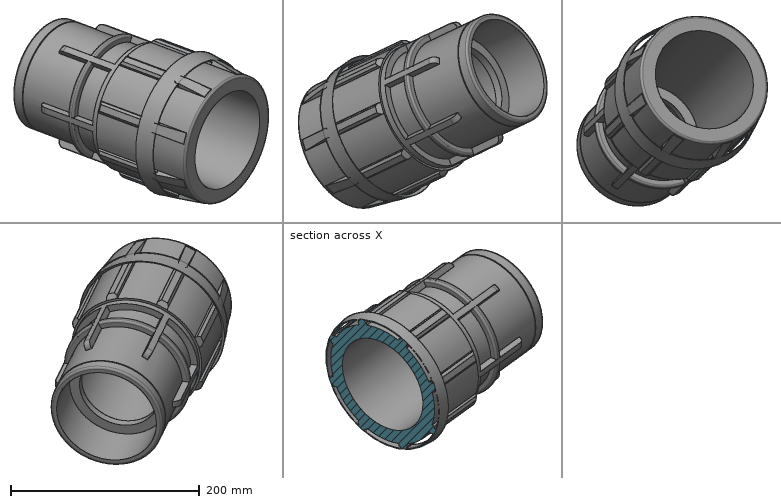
import cadquery as cq
length = 243.0

body_radius = 61.6
socket_radius = 55.05
stop_radius = 44.0
socket_depth = 51.8
stop_length = 8.7
tip_fillet = 2.5
groove_start = 13.0
groove_width = 0.7
groove_depth = 0.2

collar_radius = 69.3
collar_start = 81.0
collar_width = 7.3
collar_fillet = 2.5
flange_start = 114.7
fin_count = 6
fin_start = 41.3
fin_width = 7.3

nut_radius = 71.7
nut_start = 121.7
nut_end_fillet = 2.5
rib_count = 8
rib_radius = 76.8
rib_width = 12.6
rib_chamfer = 2.7
rib_front_drop = 5.0
rib_front_slope = 4.5

ring_start = 182.2
ring_width = 21.5
ring_front_radius = 80.07
ring_rear_radius = 77.3
ring_bore_radius = 76.5
ring_bevel_length = 3.6
ring_end = ring_start + ring_width

wedge_overlap = 4.9
wedge_end = 238.6
wedge_end_radius = 72.2
wedge_top_width = 10.2
wedge_base_width = rib_width


def turned(start, end, radius):
    """Solid cylinder along X between two stations."""
    return cq.Workplane("YZ").workplane(offset=start).circle(radius).extrude(end - start)


def revolved(profile):
    """Solid of revolution about X from (station, radius) points."""
    return cq.Workplane("XY").polyline(profile).close().revolve(360, (0, 0, 0), (1, 0, 0))


def bar_along_x(start, end, section):
    """Prism along X with the given cross-section."""
    return cq.Workplane("YZ").workplane(offset=start).polyline(section).close().extrude(end - start)


def around(shape, count, first_angle):
    """Copies of a shape evenly spaced about the X axis, joined together."""
    joined = cq.Workplane("XY")
    for i in range(count):
        angle = first_angle + i * 360 / count
        joined = joined.add(shape.rotate((0, 0, 0), (1, 0, 0), angle))
    return joined.combine()


def make_body():
    body = turned(0, nut_start, body_radius).faces("<X").edges().fillet(tip_fillet)
    groove_end = groove_start + groove_width
    groove = turned(groove_start, groove_end, body_radius + 2.5).cut(
        turned(groove_start, groove_end, body_radius - groove_depth)
    )
    collar = turned(collar_start, collar_start + collar_width, collar_radius)
    collar = collar.edges().fillet(collar_fillet)
    flange = turned(flange_start, nut_start, collar_radius)
    return body.cut(groove).union(collar).union(flange)


def make_fins():
    nose_radius = collar_radius - body_radius
    envelope = turned(fin_start, flange_start, collar_radius).faces("<X").edges().fillet(nose_radius)
    fin_length = flange_start - fin_start
    bar = cq.Workplane("XY").box(fin_length, collar_radius, fin_width, centered=(False, False, True))
    return around(bar.translate((fin_start, 0, 0)), fin_count, 0).intersect(envelope)


def make_nut():
    return turned(nut_start, length, nut_radius).faces(">X").edges().fillet(nut_end_fillet)


def make_ribs():
    root = stop_radius + 14.5
    half_width = rib_width / 2
    section = [
        (-half_width, root),
        (-half_width, rib_radius - rib_chamfer),
        (rib_chamfer - half_width, rib_radius),
        (half_width - rib_chamfer, rib_radius),
        (half_width, rib_radius - rib_chamfer),
        (half_width, root),
    ]
    ramp = [
        (nut_start, rib_radius - rib_front_drop),
        (nut_start + rib_front_slope, rib_radius),
        (nut_start, rib_radius),
    ]
    ramp_cutter = cq.Workplane("XZ").polyline(ramp).close().extrude(rib_width, both=True)
    rib = bar_along_x(nut_start, ring_end, section).cut(ramp_cutter)
    return around(rib, rib_count, 180 / rib_count)


def make_ring():
    return revolved([
        (ring_start, ring_front_radius),
        (ring_end, ring_rear_radius),
        (ring_end, ring_bore_radius),
        (ring_start + ring_bevel_length, ring_bore_radius),
    ])


def make_wedges():
    root = stop_radius + 14.5
    wedge_start = ring_end - wedge_overlap
    section = [
        (-wedge_base_width / 2, root),
        (-wedge_base_width / 2, nut_radius),
        (-wedge_top_width / 2, ring_rear_radius),
        (wedge_top_width / 2, ring_rear_radius),
        (wedge_base_width / 2, nut_radius),
        (wedge_base_width / 2, root),
    ]
    envelope = revolved([
        (wedge_start, 0),
        (wedge_start, ring_rear_radius),
        (ring_end, ring_rear_radius),
        (wedge_end, wedge_end_radius),
        (wedge_end, 0),
    ])
    wedge = bar_along_x(wedge_start, wedge_end, section)
    return around(wedge, rib_count, 180 / rib_count).intersect(envelope)


result = make_body().union(make_fins()).union(make_nut())
result = result.union(make_ribs()).union(make_wedges()).union(make_ring())

result = result.cut(turned(0, socket_depth, socket_radius))
result = result.cut(turned(socket_depth, length, stop_radius))
result = result.cut(turned(socket_depth + stop_length, length, socket_radius))